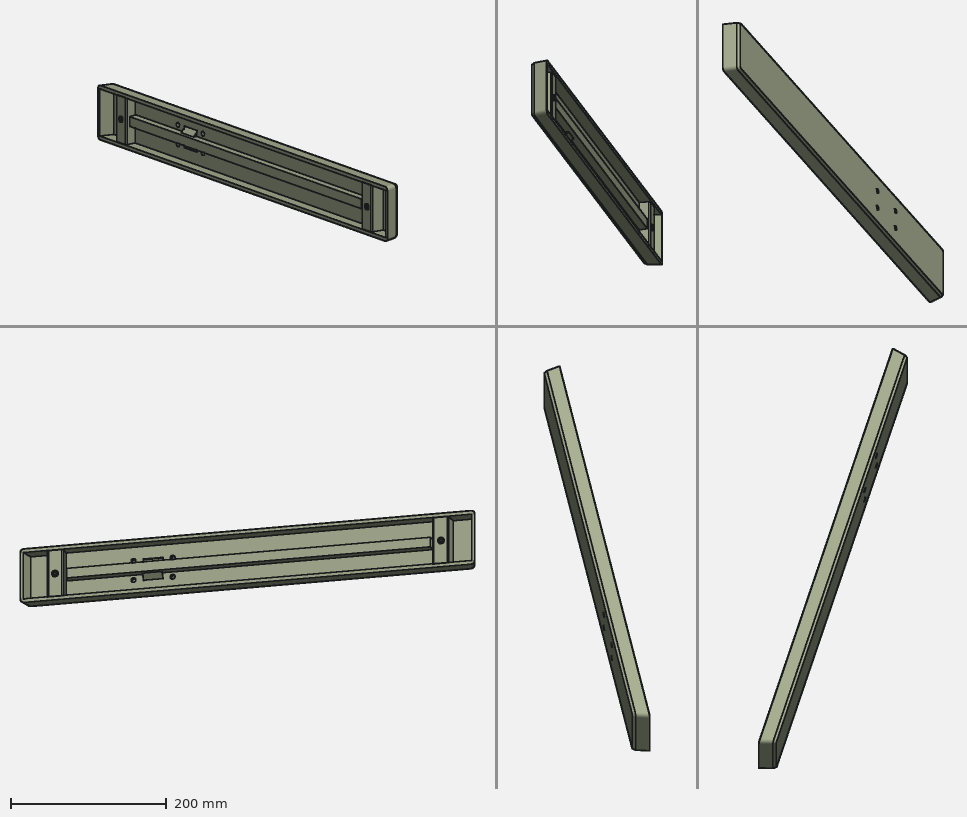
import cadquery as cq
import math

LENGTH = 603.0
DEPTH = 21.5
HEIGHT = 73.0
END_DRAFT = 15.0
CORNER_RADIUS = 5.0
BACK_CHAMFER_DEPTH = 4.0
BACK_CHAMFER_INSET = 1.8
SIDE_WALL = 5.0
END_WALL = 4.0
BACK_THICKNESS = 2.5

CHANNEL_THICKNESS = 5.5

BAR_FACE_CENTRE = 255.5
BAR_FACE_WIDTH = 17.8
BAR_RECESS = 1.5
BAR_CHAMFER = 2.0
BAR_OUTER_LEAN = 1.7
SCREW_HOLE_X = 256.0
SCREW_HEAD_DIAMETER = 8.0
SCREW_HEAD_DEPTH = 2.0
SCREW_HOLE_DIAMETER = 5.0
SCREW_HOLE_DEPTH = 10.0

RIB_LENGTH = 482.0
RIB_END_LEAN = 2.0
RIB_WIDTH = 13.0
RIB_RISE = 11.5

MOUNT_X = -129.5
RAMP_LENGTH = 26.0
RAMP_RUN = 8.0
RAMP_RISE = 8.0
HOLE_SPACING_X = 52.0
HOLE_SPACING_Z = 26.0
HOLE_DIAMETER = 6.0

OPEN_Y = -DEPTH / 2
BACK_Y = DEPTH / 2
POCKET_FLOOR_Y = BACK_Y - BACK_THICKNESS
CHANNEL_FLOOR_Y = BACK_Y - CHANNEL_THICKNESS
BAR_FACE_Y = OPEN_Y + BAR_RECESS
INNER_HEIGHT = HEIGHT - 2 * SIDE_WALL
RAMP_SPAN = RIB_WIDTH + 2 * RAMP_RUN
DRAFT_SLOPE = math.tan(math.radians(END_DRAFT))


def prism_along_z(outline, height):
    """Prism with an XY outline, centred on Z = 0."""
    return cq.Workplane("XY").polyline(outline).close().extrude(height / 2, both=True)


def symmetric_trapezoid(front_half, front_y, back_half, back_y):
    return [
        (-front_half, front_y),
        (front_half, front_y),
        (back_half, back_y),
        (-back_half, back_y),
    ]


def tapered_block(half_length, back_y, height):
    """Block from the open rim to back_y whose ends lean inwards towards the back."""
    back_half = half_length - (back_y - OPEN_Y) * DRAFT_SLOPE
    return prism_along_z(symmetric_trapezoid(half_length, OPEN_Y, back_half, back_y), height)


def box_between(x_centre, x_size, y_front, y_back, z_size):
    box = cq.Workplane("XY").box(x_size, y_back - y_front, z_size)
    return box.translate((x_centre, (y_front + y_back) / 2, 0))


def drill(x, z, diameter, y_front, y_back):
    """Round cutter along Y between two depths."""
    start = cq.Workplane("XZ", origin=(x, y_front, z))
    return start.circle(diameter / 2).extrude(y_front - y_back)


def make_tray():
    body = tapered_block(LENGTH / 2, BACK_Y, HEIGHT)
    body = body.faces("<X or >X").edges("<Z or >Z").fillet(CORNER_RADIUS)
    body = body.faces(">Y").edges().chamfer(BACK_CHAMFER_DEPTH, BACK_CHAMFER_INSET)
    return body.cut(tapered_block(LENGTH / 2 - END_WALL, POCKET_FLOOR_Y, INNER_HEIGHT))


def make_bar():
    """Cross bar at the +X end: chamfered face, upright inner side, leaning outer side."""
    face_inner_x = BAR_FACE_CENTRE - BAR_FACE_WIDTH / 2
    face_outer_x = BAR_FACE_CENTRE + BAR_FACE_WIDTH / 2
    inner_x = face_inner_x - BAR_CHAMFER
    shoulder_x = face_outer_x + BAR_CHAMFER
    shoulder_y = BAR_FACE_Y + BAR_CHAMFER
    outline = [
        (face_inner_x, BAR_FACE_Y),
        (face_outer_x, BAR_FACE_Y),
        (shoulder_x, shoulder_y),
        (shoulder_x + BAR_OUTER_LEAN, POCKET_FLOOR_Y),
        (inner_x, POCKET_FLOOR_Y),
        (inner_x, shoulder_y),
    ]
    bar = prism_along_z(outline, INNER_HEIGHT)
    head_end_y = BAR_FACE_Y + SCREW_HEAD_DEPTH
    hole_end_y = BAR_FACE_Y + SCREW_HOLE_DEPTH
    bar = bar.cut(drill(SCREW_HOLE_X, 0, SCREW_HEAD_DIAMETER, BAR_FACE_Y, head_end_y))
    return bar.cut(drill(SCREW_HOLE_X, 0, SCREW_HOLE_DIAMETER, BAR_FACE_Y, hole_end_y))


def make_channel_floor():
    """Raised floor between the bars, with a window sunk around the ramps."""
    length = 2 * BAR_FACE_CENTRE - BAR_FACE_WIDTH
    floor = box_between(0, length, CHANNEL_FLOOR_Y, POCKET_FLOOR_Y, INNER_HEIGHT)
    return floor.cut(box_between(MOUNT_X, RAMP_LENGTH, CHANNEL_FLOOR_Y, POCKET_FLOOR_Y, RAMP_SPAN))


def make_rib():
    top_y = CHANNEL_FLOOR_Y - RIB_RISE
    top_half = RIB_LENGTH / 2
    outline = symmetric_trapezoid(top_half, top_y, top_half + RIB_END_LEAN, CHANNEL_FLOOR_Y)
    foot = box_between(0, RIB_LENGTH, CHANNEL_FLOOR_Y, POCKET_FLOOR_Y, RIB_WIDTH)
    return prism_along_z(outline, RIB_WIDTH).union(foot)


def make_ramps():
    """Wedges sloping from both sides of the rib down to the back wall."""
    crest_y = POCKET_FLOOR_Y - RAMP_RISE
    outline = [
        (POCKET_FLOOR_Y, -RAMP_SPAN / 2),
        (crest_y, -RIB_WIDTH / 2),
        (crest_y, RIB_WIDTH / 2),
        (POCKET_FLOOR_Y, RAMP_SPAN / 2),
    ]
    ramps = cq.Workplane("YZ").polyline(outline).close().extrude(RAMP_LENGTH / 2, both=True)
    return ramps.translate((MOUNT_X, 0, 0))


def make_mounting_holes():
    holes = cq.Workplane("XY")
    for x_side in (-1, 1):
        for z_side in (-1, 1):
            hole_x = MOUNT_X + x_side * HOLE_SPACING_X / 2
            hole_z = z_side * HOLE_SPACING_Z / 2
            holes = holes.add(drill(hole_x, hole_z, HOLE_DIAMETER, CHANNEL_FLOOR_Y, BACK_Y))
    return holes.combine()


right_bar = make_bar()
left_bar = right_bar.mirror("YZ")

result = make_tray().union(make_channel_floor()).union(right_bar).union(left_bar)
result = result.union(make_rib()).union(make_ramps())
result = result.cut(make_mounting_holes())